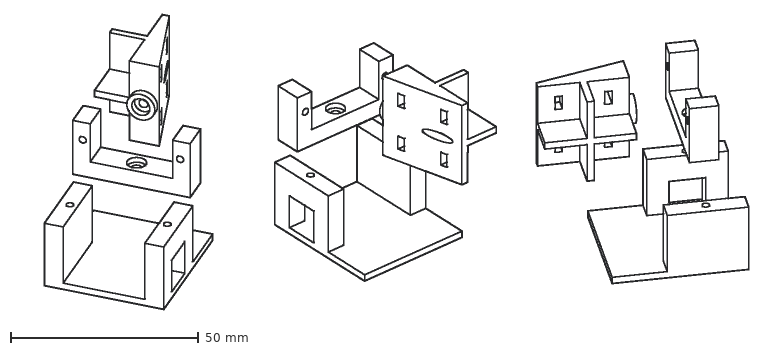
import cadquery as cq

PILOT_HOLE_DIAMETER = 2.0
SCREW_HOLE_DIAMETER = 2.5
COUNTERBORE_DIAMETER = 5.3
COUNTERBORE_DEPTH = 1.5

BASE_WIDTH = 34.1
BASE_LENGTH = 37.2
BASE_HEIGHT = 19.7
FLOOR_THICKNESS = 2.0
WALL_THICKNESS = 5.4
WALL_LENGTH = 22.2
WALL_HOLE_INSET = 3.15
WALL_HOLE_DEPTH = 5.0
WINDOW_WIDTH = 10.0
WINDOW_HEIGHT = 10.0

YOKE_WIDTH = 33.5
YOKE_DEPTH = 8.0
YOKE_HEIGHT = 17.0
YOKE_THICKNESS = 5.0
YOKE_LEFT = 5.45
YOKE_BOTTOM = 32.15
YOKE_CENTER_Y = WALL_LENGTH / 2
YOKE_HOLE_INSET = 2.85
YOKE_HOLE_DROP = 5.5

MOUNT_SIZE = 25.0
MOUNT_LEFT = 3.05
MOUNT_FRONT = 29.95
MOUNT_BOTTOM = 31.15
RIB_LENGTH = 10.0
RIB_THICKNESS = 2.0
PLATE_FRONT_THICKNESS = 8.5
PLATE_BACK_THICKNESS = 2.0
SLOT_WIDTH = 2.0
SLOT_HEIGHT = 4.0
SLOT_SPACING = 13.5
BOSS_DIAMETER = 8.0
BOSS_LENGTH = 2.0
BOSS_BORE_DIAMETER = 5.1
BOSS_BORE_DEPTH = 2.0


def corner_box(width, length, height, corner):
    """Box whose lowest X, Y, Z corner sits at the given point."""
    return cq.Workplane("XY").box(width, length, height, centered=False).translate(corner)


def make_base():
    right_wall_x = BASE_WIDTH - WALL_THICKNESS
    base = corner_box(BASE_WIDTH, BASE_LENGTH, FLOOR_THICKNESS, (0, 0, 0))
    for wall_x in (0, right_wall_x):
        base = base.union(corner_box(WALL_THICKNESS, WALL_LENGTH, BASE_HEIGHT, (wall_x, 0, 0)))

    window_y = (WALL_LENGTH - WINDOW_WIDTH) / 2
    window = corner_box(
        WALL_THICKNESS, WINDOW_WIDTH, WINDOW_HEIGHT, (right_wall_x, window_y, FLOOR_THICKNESS)
    )
    base = base.cut(window)

    hole_points = [(x, WALL_LENGTH / 2) for x in (WALL_HOLE_INSET, BASE_WIDTH - WALL_HOLE_INSET)]
    holes = (
        cq.Workplane("XY", origin=(0, 0, BASE_HEIGHT))
        .pushPoints(hole_points)
        .circle(PILOT_HOLE_DIAMETER / 2)
        .extrude(-WALL_HOLE_DEPTH)
    )
    return base.cut(holes)


def make_yoke():
    yoke_front = YOKE_CENTER_Y - YOKE_DEPTH / 2
    yoke = corner_box(YOKE_WIDTH, YOKE_DEPTH, YOKE_HEIGHT, (YOKE_LEFT, yoke_front, YOKE_BOTTOM))
    floor_z = YOKE_BOTTOM + YOKE_THICKNESS
    gap = corner_box(
        YOKE_WIDTH - 2 * YOKE_THICKNESS,
        YOKE_DEPTH,
        YOKE_HEIGHT - YOKE_THICKNESS,
        (YOKE_LEFT + YOKE_THICKNESS, yoke_front, floor_z),
    )
    yoke = yoke.cut(gap)

    screw_hole = (
        cq.Workplane("XY", origin=(YOKE_LEFT + YOKE_WIDTH / 2, YOKE_CENTER_Y, floor_z))
        .circle(SCREW_HOLE_DIAMETER / 2)
        .extrude(-YOKE_THICKNESS)
        .faces(">Z")
        .workplane()
        .circle(COUNTERBORE_DIAMETER / 2)
        .extrude(-COUNTERBORE_DEPTH)
    )

    hole_z = YOKE_BOTTOM + YOKE_HEIGHT - YOKE_HOLE_DROP
    arm_hole_x = (YOKE_LEFT + YOKE_HOLE_INSET, YOKE_LEFT + YOKE_WIDTH - YOKE_HOLE_INSET)
    arm_holes = (
        cq.Workplane("XZ", origin=(0, yoke_front, 0))
        .pushPoints([(x, hole_z) for x in arm_hole_x])
        .circle(PILOT_HOLE_DIAMETER / 2)
        .extrude(-YOKE_DEPTH)
    )
    return yoke.cut(screw_hole).cut(arm_holes)


def make_mount():
    plate_x = MOUNT_LEFT + RIB_LENGTH
    mount_back = MOUNT_FRONT + MOUNT_SIZE
    center_y = MOUNT_FRONT + MOUNT_SIZE / 2
    center_z = MOUNT_BOTTOM + MOUNT_SIZE / 2

    mount = (
        cq.Workplane("XY", origin=(0, 0, MOUNT_BOTTOM))
        .moveTo(plate_x, MOUNT_FRONT)
        .lineTo(plate_x + PLATE_FRONT_THICKNESS, MOUNT_FRONT)
        .lineTo(plate_x + PLATE_BACK_THICKNESS, mount_back)
        .lineTo(plate_x, mount_back)
        .close()
        .extrude(MOUNT_SIZE)
    )

    slots = (
        cq.Workplane("YZ", origin=(plate_x, center_y, center_z))
        .rarray(SLOT_SPACING, SLOT_SPACING, 2, 2)
        .rect(SLOT_WIDTH, SLOT_HEIGHT)
        .extrude(PLATE_FRONT_THICKNESS)
    )
    mount = mount.cut(slots)

    upright_rib = corner_box(
        RIB_LENGTH,
        RIB_THICKNESS,
        MOUNT_SIZE,
        (MOUNT_LEFT, center_y - RIB_THICKNESS / 2, MOUNT_BOTTOM),
    )
    level_rib = corner_box(
        RIB_LENGTH,
        MOUNT_SIZE,
        RIB_THICKNESS,
        (MOUNT_LEFT, MOUNT_FRONT, center_z - RIB_THICKNESS / 2),
    )
    mount = mount.union(upright_rib).union(level_rib)

    boss_face = cq.Workplane(
        "XZ", origin=(plate_x + BOSS_DIAMETER / 2, MOUNT_FRONT - BOSS_LENGTH, center_z)
    )
    boss = boss_face.circle(BOSS_DIAMETER / 2).extrude(-BOSS_LENGTH)
    counterbore = boss_face.circle(BOSS_BORE_DIAMETER / 2).extrude(-BOSS_BORE_DEPTH)
    screw_hole = boss_face.circle(SCREW_HOLE_DIAMETER / 2).extrude(-BOSS_LENGTH - MOUNT_SIZE)
    return mount.union(boss).cut(counterbore).cut(screw_hole)


base = make_base()
yoke = make_yoke()
mount = make_mount()

result = cq.Compound.makeCompound([base.val(), yoke.val(), mount.val()])